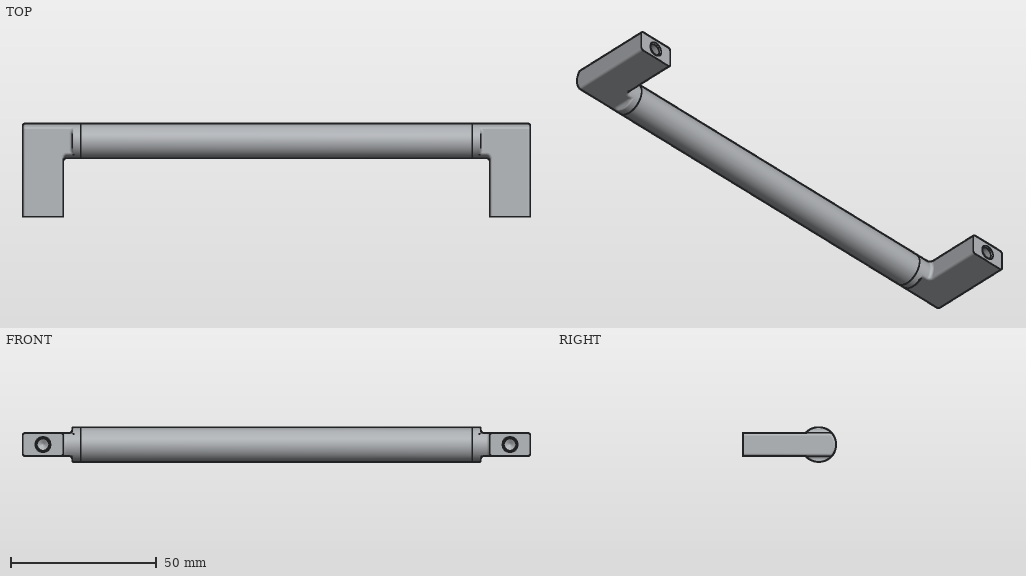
import cadquery as cq
import math


overall_length = 174.0
overall_depth = 32.0
bar_diameter = 12.0

leg_width = 14.0
leg_thickness = 8.0
leg_reach = 20.0
flat_length = 17.0
edge_fillet = 1.0
shoulder_fillet = 1.0
collar_lip_fillet = 0.5

screw_hole_diameter = 4.2
screw_hole_depth = 10.0
countersink_diameter = 5.2
drill_point_angle = 118.0

bar_radius = bar_diameter / 2
half_length = overall_length / 2
half_thickness = leg_thickness / 2
joint_x = half_length - leg_reach
shoulder_x = half_length - flat_length
leg_inner_x = half_length - leg_width
leg_center_x = half_length - leg_width / 2
foot_y = bar_radius - overall_depth

pick_margin = 0.1


def make_rod(start_x, end_x):
    """Full-diameter round rod along X."""
    return cq.Workplane("YZ").workplane(offset=start_x).circle(bar_radius).extrude(end_x - start_x)


def edges_near_x(body, x, low_z, high_z):
    """Edges that cross the bar's width close to one X position and within a range of Z."""
    reach_y = bar_radius + pick_margin
    low_corner = (x - pick_margin, -reach_y, low_z - pick_margin)
    high_corner = (x + pick_margin, reach_y, high_z + pick_margin)
    return body.edges(cq.selectors.BoxSelector(low_corner, high_corner, boundingbox=True))


def make_flat_body():
    """Bar end cut to two flats, joined to the upright, with all long edges rounded."""
    slab = (
        cq.Workplane("XY")
        .box(leg_reach, bar_diameter, leg_thickness, centered=(False, True, True))
        .translate((joint_x, 0, 0))
    )
    upright = (
        cq.Workplane("XY")
        .box(leg_width, -foot_y, leg_thickness, centered=(False, False, True))
        .translate((leg_inner_x, foot_y, 0))
    )
    body = make_rod(joint_x, half_length).intersect(slab).union(upright)

    inner_edges = edges_near_x(body, leg_inner_x, -half_thickness, half_thickness)
    body = inner_edges.edges("%CIRCLE").fillet(edge_fillet)

    flat_rims = body.faces("<Z or >Z").edges("not (<Y or <X)")
    end_arcs = body.faces(">X").edges("%CIRCLE")
    return flat_rims.add(end_arcs).fillet(edge_fillet)


def make_collar():
    """Round collar that continues the bar, with a softened lip at the shoulder."""
    return make_rod(joint_x, shoulder_x).faces(">X").edges().fillet(collar_lip_fillet)


def make_screw_hole():
    """Countersunk blind hole with a drill point, running into the foot along +Y."""
    hole_radius = screw_hole_diameter / 2
    countersink_radius = countersink_diameter / 2
    countersink_depth = countersink_radius - hole_radius
    point_depth = hole_radius / math.tan(math.radians(drill_point_angle / 2))
    half_section = (
        cq.Workplane("XY")
        .lineTo(countersink_radius, 0)
        .lineTo(hole_radius, countersink_depth)
        .lineTo(hole_radius, screw_hole_depth)
        .lineTo(0, screw_hole_depth + point_depth)
        .close()
    )
    hole = half_section.revolve(360, (0, 0, 0), (0, 1, 0))
    return hole.translate((leg_center_x, foot_y, 0))


def make_leg():
    """Leg at the +X end."""
    leg = make_flat_body().union(make_collar())
    for flat_z in (half_thickness, -half_thickness):
        leg = edges_near_x(leg, shoulder_x, flat_z, flat_z).fillet(shoulder_fillet)
    return leg.cut(make_screw_hole())


def make_legs():
    """Two legs, mirrored about the middle of the bar."""
    right_leg = make_leg().solids()
    legs = []
    for leg in (right_leg, right_leg.mirror("YZ")):
        legs.append(leg.val())
    return legs


bar = make_rod(-joint_x, joint_x)
legs = make_legs()

result = cq.Compound.makeCompound([bar.val(), *legs])